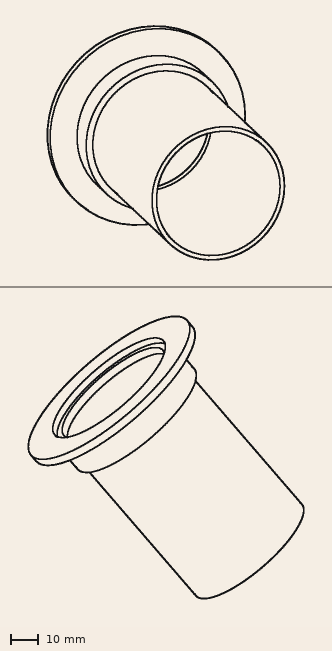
import cadquery as cq

total_length = 81.9
bore_diameter = 47.5

flange_diameter = 75.0
rim_thickness = 3.1
hub_start = 5.6
hub_diameter = 56.0
flange_length = 15.8
recess_diameter = 52.3
recess_depth = 2.5

tube_diameter = 50.95
tube_start = hub_start


def cylinder(diameter, start, end):
    """Solid cylinder along X from start to end."""
    return cq.Workplane("YZ", origin=(start, 0, 0)).circle(diameter / 2).extrude(end - start)


def make_flange():
    """Clamping flange: rim with tapered back, short hub, bore, seal recess and tube socket."""
    outline = [
        (0, 0),
        (0, flange_diameter / 2),
        (rim_thickness, flange_diameter / 2),
        (hub_start, hub_diameter / 2),
        (flange_length, hub_diameter / 2),
        (flange_length, 0),
    ]
    body = cq.Workplane("XY").polyline(outline).close().revolve(360, (0, 0, 0), (1, 0, 0))
    bore = cylinder(bore_diameter, 0, flange_length)
    recess = cylinder(recess_diameter, 0, recess_depth)
    socket = cylinder(tube_diameter, tube_start, flange_length)
    return body.cut(bore).cut(recess).cut(socket)


def make_tube():
    """Plain tube seated in the flange socket."""
    outside = cylinder(tube_diameter, tube_start, total_length)
    bore = cylinder(bore_diameter, tube_start, total_length)
    return outside.cut(bore)


flange = make_flange()
tube = make_tube()

result = cq.Compound.makeCompound([flange.val(), tube.val()])